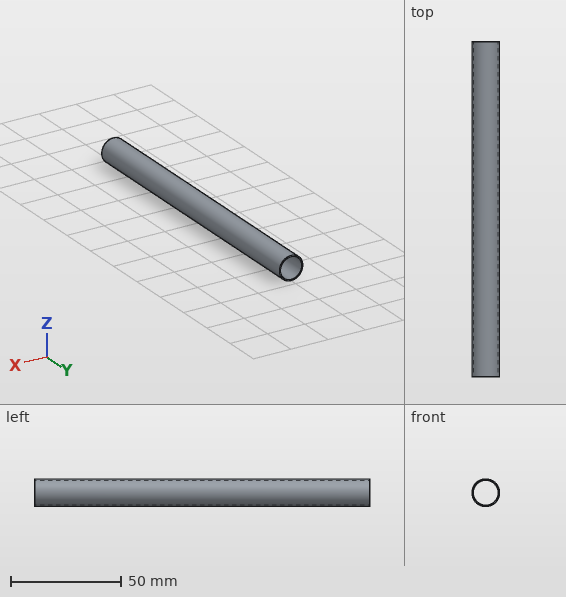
import cadquery as cq

length = 152.4
outer_diameter = 12.6
wall_thickness = 0.69
inner_diameter = outer_diameter - 2 * wall_thickness

result = (
    cq.Workplane("XZ", origin=(0, length / 2, 0))
    .circle(outer_diameter / 2)
    .circle(inner_diameter / 2)
    .extrude(length)
)